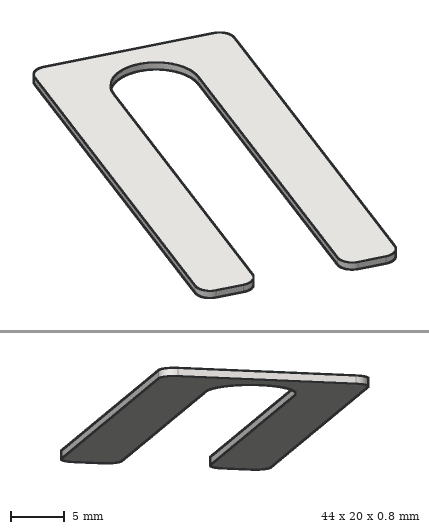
import cadquery as cq

length = 44.0
width = 20.0
thickness = 0.8
corner_radius = 1.5

slot_width = 8.5
closed_end_wall = 2.75

slot_radius = slot_width / 2
slot_centre_x = closed_end_wall + slot_radius


def make_plate():
    """Flat rectangular plate with its closed end at X = 0."""
    return cq.Workplane("XY").box(length, width, thickness, centered=(False, True, True))


def make_slot():
    """Round-ended cutter that runs out through the +X end."""
    return (
        cq.Workplane("XY")
        .moveTo(length, -slot_radius)
        .lineTo(slot_centre_x, -slot_radius)
        .threePointArc((closed_end_wall, 0), (slot_centre_x, slot_radius))
        .lineTo(length, slot_radius)
        .close()
        .extrude(thickness, both=True)
    )


end_faces = "<X or >X"
result = make_plate().cut(make_slot()).faces(end_faces).edges("|Z").fillet(corner_radius)